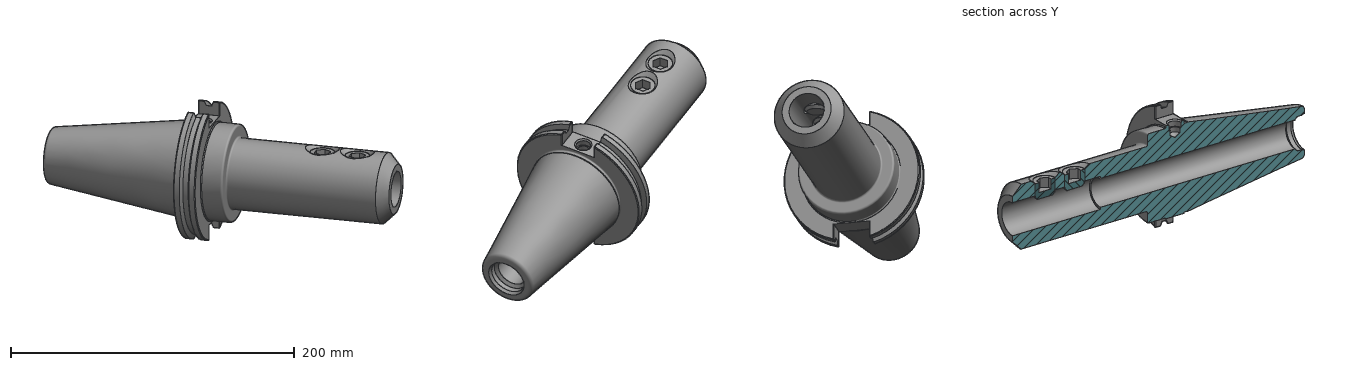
import cadquery as cq
import math

overall_length = 254.0

taper_length = 101.5
gauge_diameter = 69.8
taper_ratio = 7 / 24
nose_fillet = 3.0

relief_diameter = 69.3
relief_step_length = 0.8
flange_root_fillet = 0.8

flange_diameter = 98.3
flange_gap = 3.0
flange_width = 16.0
flange_chamfer = 0.64
groove_floor_width = 3.8
groove_mouth_width = 7.0
groove_floor_diameter = 91.5

collar_end = 136.7
collar_fillet = 1.5
shank_diameter = 50.8
shank_root_fillet = 1.3
shank_end_chamfer = 7.5

slot_width = 25.7
upper_slot_floor = 37.0
lower_slot_floor = 35.5

key_hole_mouth_diameter = 12.2
key_hole_diameter = 10.2
key_drill_diameter = 8.0
key_hole_depth = 5.0
key_drill_depth = 9.0
drill_point_angle = 118.0

mouth_chamfer_width = 1.0
mouth_chamfer_length = 2.5
pull_stud_diameter = 26.5
pull_stud_depth = 6.4
through_diameter = 22.0
step_half_angle = 45.0
tool_bore_diameter = 25.5
tool_bore_depth = 76.2

screw_diameter = 17.3
screw_positions = (200.0, 225.5)
countersink_bottom_height = 22.5
countersink_top_diameter = 24.5
screw_top_height = 22.4
screw_tip_height = 9.5
screw_tip_chamfer = 2.0
socket_across_flats = 10.2
socket_depth = 7.5

shank_radius = shank_diameter / 2
small_diameter = gauge_diameter - taper_ratio * taper_length
flange_start = taper_length + flange_gap
flange_end = flange_start + flange_width
flange_center = (flange_start + flange_end) / 2


def revolve_about_x(profile):
    """Turn a profile of (x, radius) points, drawn in the XY plane, about the X axis."""
    return profile.close().revolve(360, (0, 0, 0), (1, 0, 0))


def x_cylinder(start, end, diameter):
    return cq.Workplane("YZ", origin=(start, 0, 0)).circle(diameter / 2).extrude(end - start)


def z_cylinder(x, bottom, top, diameter):
    return cq.Workplane("XY", origin=(x, 0, bottom)).circle(diameter / 2).extrude(top - bottom)


def z_cone(x, bottom, bottom_radius, top, top_radius):
    return cq.Workplane(cq.Solid.makeCone(
        bottom_radius, top_radius, top - bottom, cq.Vector(x, 0, bottom), cq.Vector(0, 0, 1)))


def taper():
    cone = revolve_about_x(
        cq.Workplane("XY")
        .moveTo(0, 0)
        .lineTo(0, small_diameter / 2)
        .lineTo(taper_length, gauge_diameter / 2)
        .lineTo(taper_length, 0)
    )
    return cone.faces("<X").edges().fillet(nose_fillet)


def relief():
    step_end = taper_length + relief_step_length
    return revolve_about_x(
        cq.Workplane("XY")
        .moveTo(taper_length, 0)
        .lineTo(taper_length, gauge_diameter / 2)
        .lineTo(step_end, relief_diameter / 2)
        .lineTo(flange_start, relief_diameter / 2)
        .lineTo(flange_start, 0)
    )


def flange():
    disc = x_cylinder(flange_start, flange_end, flange_diameter)
    slot_height = flange_diameter / 2
    for side, floor in ((1, upper_slot_floor), (-1, lower_slot_floor)):
        slot = (
            cq.Workplane("XY")
            .box(flange_width, slot_width, slot_height)
            .translate((flange_center, 0, side * (floor + slot_height / 2)))
        )
        disc = disc.cut(slot)
    rim_corners = disc.edges("|X").edges(">Z or <Z")
    disc = disc.edges("%CIRCLE or |Z").add(rim_corners).chamfer(flange_chamfer)
    return disc.cut(flange_groove())


def flange_groove():
    half_floor = groove_floor_width / 2
    half_mouth = groove_mouth_width / 2
    floor_radius = groove_floor_diameter / 2
    rim_radius = flange_diameter / 2
    return revolve_about_x(
        cq.Workplane("XY")
        .moveTo(flange_center - half_floor, floor_radius)
        .lineTo(flange_center + half_floor, floor_radius)
        .lineTo(flange_center + half_mouth, rim_radius)
        .lineTo(flange_center - half_mouth, rim_radius)
    )


def root_fillet(face, direction, root_diameter):
    """Concave ring that blends a cylinder into a wall at X = face; direction points off the wall."""
    radius = root_diameter / 2
    size = flange_root_fillet
    arc_offset = size * (1 - math.sqrt(0.5))
    return revolve_about_x(
        cq.Workplane("XY")
        .moveTo(face, radius - size)
        .lineTo(face, radius + size)
        .threePointArc(
            (face + direction * arc_offset, radius + arc_offset),
            (face + direction * size, radius),
        )
        .lineTo(face + direction * size, radius - size)
    )


def shank():
    collar = x_cylinder(flange_end, collar_end, gauge_diameter).faces(">X").edges().fillet(collar_fillet)
    neck = x_cylinder(collar_end, overall_length, shank_diameter)
    neck = neck.faces(">X").edges().chamfer(shank_end_chamfer)
    joined = collar.union(neck)
    shoulder_point = (collar_end, 0, (gauge_diameter + shank_diameter) / 4)
    shoulder = joined.faces(cq.selectors.NearestToPointSelector(shoulder_point))
    root = shoulder.edges(cq.selectors.RadiusNthSelector(0))
    return root.fillet(shank_root_fillet)


def axial_bore():
    mouth_radius = pull_stud_diameter / 2
    through_radius = through_diameter / 2
    step_length = (mouth_radius - through_radius) / math.tan(math.radians(step_half_angle))
    tool_bore_start = overall_length - tool_bore_depth
    return revolve_about_x(
        cq.Workplane("XY")
        .moveTo(0, 0)
        .lineTo(0, mouth_radius + mouth_chamfer_width)
        .lineTo(mouth_chamfer_length, mouth_radius)
        .lineTo(pull_stud_depth, mouth_radius)
        .lineTo(pull_stud_depth + step_length, through_radius)
        .lineTo(tool_bore_start, through_radius)
        .lineTo(tool_bore_start, tool_bore_diameter / 2)
        .lineTo(overall_length, tool_bore_diameter / 2)
        .lineTo(overall_length, 0)
    )


def key_hole():
    mouth_radius = key_hole_mouth_diameter / 2
    hole_radius = key_hole_diameter / 2
    drill_radius = key_drill_diameter / 2
    point_length = drill_radius / math.tan(math.radians(drill_point_angle / 2))
    drill_bottom = upper_slot_floor - key_drill_depth
    countersink_bottom = upper_slot_floor - (mouth_radius - hole_radius)
    hole = z_cone(flange_center, countersink_bottom, hole_radius, upper_slot_floor, mouth_radius)
    hole = hole.union(
        z_cylinder(flange_center, upper_slot_floor - key_hole_depth, countersink_bottom, key_hole_diameter))
    hole = hole.union(
        z_cylinder(flange_center, drill_bottom, upper_slot_floor - key_hole_depth, key_drill_diameter))
    return hole.union(z_cone(flange_center, drill_bottom - point_length, 0, drill_bottom, drill_radius))


def screw_hole(x):
    hole = z_cylinder(x, 0, countersink_bottom_height, screw_diameter)
    countersink = z_cone(
        x, countersink_bottom_height, screw_diameter / 2, shank_radius, countersink_top_diameter / 2)
    return hole.union(countersink)


def make_holder():
    holder = taper().union(relief()).union(flange()).union(shank())
    holder = holder.union(root_fillet(flange_start, -1, relief_diameter))
    holder = holder.union(root_fillet(flange_end, 1, gauge_diameter))
    holder = holder.cut(axial_bore()).cut(key_hole())
    for x in screw_positions:
        holder = holder.cut(screw_hole(x))
    return holder


def make_set_screw(x):
    screw = z_cylinder(x, screw_tip_height, screw_top_height, screw_diameter)
    screw = screw.faces("<Z").edges().chamfer(screw_tip_chamfer)
    across_corners = socket_across_flats / math.cos(math.pi / 6)
    socket = (
        cq.Workplane("XY", origin=(x, 0, screw_top_height))
        .transformed(rotate=(0, 0, 90))
        .polygon(6, across_corners)
        .extrude(-socket_depth)
    )
    return screw.cut(socket)


holder = make_holder()
set_screws = [make_set_screw(x) for x in screw_positions]

result = cq.Compound.makeCompound([holder.val(), *[screw.val() for screw in set_screws]])